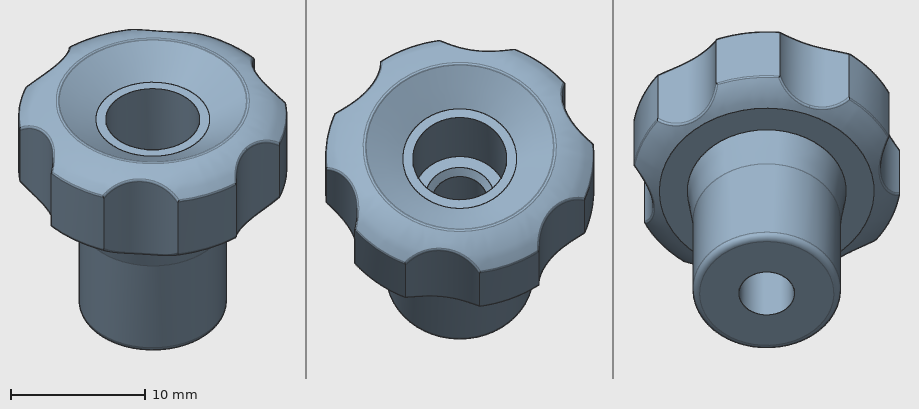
import cadquery as cq
import math

total_height = 20.0
grip_radius = 10.0
grip_bottom = 12.0
rim_band_bottom = 13.32
rim_band_top = 18.55
crown_flat_radius = 7.2
underside_flat_radius = 8.0
crown_bulge = 0.22
under_bulge = 0.15
edge_round = 0.2
flat_face_margin = 0.02

scallop_count = 6
scallop_radius = 4.3
scallop_root_radius = 8.6

stem_radius = 11.0 / 2
stem_end_round = 0.5
neck_bottom = 8.52
neck_top_radius = 5.92

dish_top_radius = 7.0
dish_floor_radius = 4.25
dish_depth = 1.8
dish_rim_round = 0.08
counterbore_radius = 7.0 / 2
counterbore_depth = 6.0
hole_radius = 4.15 / 2
hole_chamfer = 0.5


def bulged_middle(start, end, bulge):
    """Point standing off the middle of a chord, to the right when going from start to end."""
    run = end[0] - start[0]
    rise = end[1] - start[1]
    chord = math.hypot(run, rise)
    middle_radius = (start[0] + end[0]) / 2 + bulge * rise / chord
    middle_z = (start[1] + end[1]) / 2 - bulge * run / chord
    return middle_radius, middle_z


def make_grip():
    """Domed disc with finger scallops and softened outline edges."""
    under_inner = (underside_flat_radius, grip_bottom)
    under_outer = (grip_radius, rim_band_bottom)
    crown_outer = (grip_radius, rim_band_top)
    crown_inner = (crown_flat_radius, total_height)
    under_middle = bulged_middle(under_inner, under_outer, under_bulge)
    crown_middle = bulged_middle(crown_outer, crown_inner, crown_bulge)
    grip = (
        cq.Workplane("XZ")
        .moveTo(0, grip_bottom)
        .lineTo(*under_inner)
        .threePointArc(under_middle, under_outer)
        .lineTo(*crown_outer)
        .threePointArc(crown_middle, crown_inner)
        .lineTo(0, total_height)
        .close()
        .revolve(360, (0, 0, 0), (0, 1, 0))
    )
    scallops = (
        cq.Workplane("XY", origin=(0, 0, grip_bottom))
        .polarArray(scallop_root_radius + scallop_radius, 0, 360, scallop_count)
        .circle(scallop_radius)
        .extrude(total_height - grip_bottom)
    )
    grip = grip.cut(scallops)

    outline_edges = grip.edges("not(|Z)").filter(
        lambda edge: abs(edge.Center().z - total_height) > flat_face_margin
        and abs(edge.Center().z - grip_bottom) > flat_face_margin
    )
    return outline_edges.fillet(edge_round)


def make_stem():
    """Round stem with a rounded lower end and a neck flaring into the grip."""
    shaft = cq.Workplane("XY").circle(stem_radius).extrude(neck_bottom)
    shaft = shaft.faces("<Z").edges().fillet(stem_end_round)
    neck = (
        cq.Workplane("XY", origin=(0, 0, neck_bottom))
        .circle(stem_radius)
        .workplane(offset=grip_bottom - neck_bottom)
        .circle(neck_top_radius)
        .loft()
    )
    return shaft.union(neck)


def make_bore():
    """Conical dish, counterbore and chamfered through hole as one cutter."""
    dish_floor = total_height - dish_depth
    seat = dish_floor - counterbore_depth
    return (
        cq.Workplane("XZ")
        .lineTo(hole_radius, 0)
        .lineTo(hole_radius, seat - hole_chamfer)
        .lineTo(hole_radius + hole_chamfer, seat)
        .lineTo(counterbore_radius, seat)
        .lineTo(counterbore_radius, dish_floor)
        .lineTo(dish_floor_radius, dish_floor)
        .lineTo(dish_top_radius, total_height)
        .lineTo(0, total_height)
        .close()
        .revolve(360, (0, 0, 0), (0, 1, 0))
    )


body = make_grip().union(make_stem()).cut(make_bore())
dish_rim = body.faces(">Z").edges(cq.selectors.RadiusNthSelector(0))
result = dish_rim.fillet(dish_rim_round)